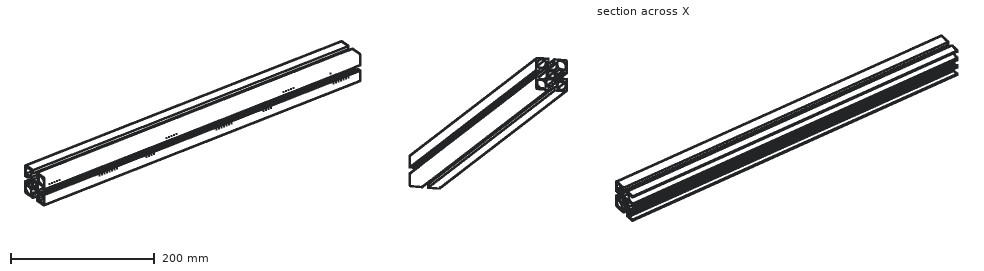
import cadquery as cq

length = 550.0
side = 45.0
corner_radius = 2.55

mouth_width = 9.0
chamber_width = 15.0
lip_depth = 5.2
floor_bevel = 3.0

core_width = 14.5
bore_width = 9.0

outer_wall = 1.9
slot_wall = 1.5
cell_outer_radius = 6.0
cell_inner_radius = 4.5

half_side = side / 2
slot_depth = half_side - core_width / 2
chamber_depth = slot_depth - lip_depth
cell_near = chamber_width / 2 + slot_wall
cell_far = half_side - outer_wall
cell_width = cell_far - cell_near
cell_centre = (cell_near + cell_far) / 2


def bar(width, height, x=0.0, z=0.0):
    """Full-length rectangular bar centred on (x, z) with its length along Y."""
    return cq.Workplane("XY").box(width, length, height).translate((x, 0, z))


def t_slot():
    """T-slot opening on the +Z side, bevelled at its floor to leave webs that hold the corner cells."""
    mouth = bar(mouth_width, slot_depth, 0, half_side - slot_depth / 2)
    chamber = bar(chamber_width, chamber_depth, 0, (core_width + chamber_depth) / 2)
    chamber = chamber.faces("<Z").edges("|Y").chamfer(floor_bevel)
    return mouth.union(chamber)


def corner_cell():
    """Hollow cell in the +X +Z corner, rounded at its outermost edge and at the edge nearest the core."""
    cell = bar(cell_width, cell_width, cell_centre, cell_centre)
    cell = cell.edges("|Y and >X and >Z").fillet(cell_outer_radius)
    return cell.edges("|Y and <X and <Z").fillet(cell_inner_radius)


profile = bar(side, side).edges("|Y").fillet(corner_radius)
profile = profile.cut(bar(bore_width, bore_width))
for quarter in range(4):
    angle = 90 * quarter
    for cutter in (t_slot(), corner_cell()):
        profile = profile.cut(cutter.rotate((0, 0, 0), (0, 1, 0), angle))

result = profile